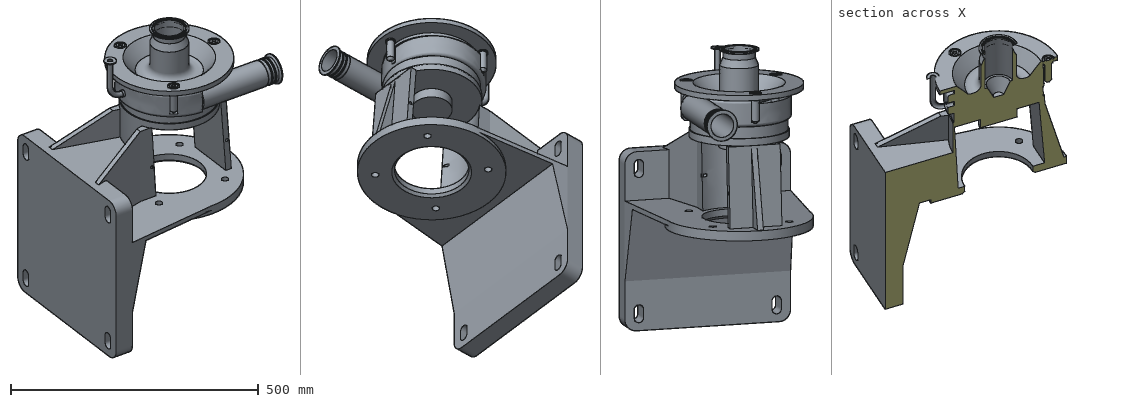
import cadquery as cq
import math


plate_width = 350.0
plate_height = 369.5
plate_thickness = 40.0
plate_back_y = -251.0
plate_front_y = plate_back_y + plate_thickness
plate_corner_radius = 24.5
slot_width = 19.5
slot_length = 37.0
slot_x = 145.5
slot_edge_distance = 35.0

shelf_top = 269.0
shelf_thickness = 10.5
ring_thickness = 19.5
ring_radius = 150.0
ring_bore_radius = 75.0
ring_bore_chamfer = 5.5
ring_hole_radius = 7.5
ring_hole_circle = 114.0
shelf_bottom = shelf_top - shelf_thickness
gusset_reach = 36.0
gusset_bottom = 103.0

leg_top = 435.0
leg_half_width = 54.5
saddle_radius = 101.5
saddle_back_y = -109.0
leg_cone_bottom_radius = 89.0
leg_cone_top_radius = 97.0
rib_thickness = 11.5
rib_splay = 15.0
rib_end_y = -233.5
front_leg_bottom_y = 101.0
front_leg_top_y = 88.5
front_leg_thickness = 13.5
front_rib_bottom_y = 144.5
front_rib_top_y = 101.0
front_rib_thickness = 12.0
pin_hole_radius = 3.0
pin_hole_depth = 12.0
pin_hole_z = 340.5
pin_hole_places_y = (103.0, -80.0)

shaft_boss_bottom = 413.0
shaft_boss_radius = 41.0
base_flange_radius = 101.5
base_flange_top = 450.0
base_radius = 99.0
casing_bottom = 473.0
casing_top = 526.5
casing_fillet = 6.0
spiral_start_radius = 101.0
spiral_end_radius = 118.5
cover_neck_radius = 98.5
cover_bottom = 534.0
cover_top = 545.0
cover_radius = 130.0

dish_rim_radius = 93.5
dish_chamfer = 2.5
dish_floor_radius = 69.0
dish_floor_z = 513.0
dish_wall_foot_z = 515.5
dish_fillet_width = 10.5
dish_fillet_radius = 15.5
inlet_radius = 39.5
inlet_fillet = 16.0
inlet_cone_bottom = 581.5
inlet_cone_top = 597.0
inlet_neck_radius = 32.5
inlet_flange_radius = 40.0
inlet_top = 614.5
flange_rim = 2.5
flange_taper = 3.0
gasket_groove_outer_radius = 35.5
gasket_groove_inner_radius = 33.0
gasket_groove_depth = 1.0
inlet_bore_radius = 30.0
inlet_throat_radius = 25.0
throat_z = 516.0
throat_floor_radius = 10.75
throat_floor_z = 485.5

outlet_x = 95.0
outlet_z = 499.5
outlet_radius = 28.0
outlet_neck_radius = 27.0
outlet_neck_start = 158.5
outlet_flange_radius = 32.0
outlet_end_y = 190.5
outlet_bore_radius = 24.0
outlet_ring_width = 3.0
outlet_ring_places_y = (166.5, 175.0)

drain_radius = 6.0
drain_bore_radius = 5.0
drain_y = -145.0
drain_bend_radius = 27.0
drain_top = 588.5
drain_flange_radius = 13.0
drain_flange_thickness = 2.5
drain_collar_radius = 7.5
drain_collar_end_y = -117.5
drain_root_y = -98.5

screw_circle = 109.5
screw_angles = (90, 210, 330)
screw_radius = 8.0
screw_tip_chamfer = 5.5
washer_thickness = 3.0
screw_recess_radius = 10.15
screw_bottom = 482.5
head_recess_radius = 12.0
head_radius = 8.5
head_recess_depth = 3.0
socket_radius = 4.0


def disc(radius, bottom, top, x=0, y=0):
    return cq.Workplane("XY", origin=(x, y, bottom)).circle(radius).extrude(top - bottom)


def turned(half_section):
    """Revolve (radius, z) points about the Z axis."""
    return cq.Workplane("XZ").polyline(half_section).close().revolve(360, (0, 0), (0, 1))


def side_profile(points, x_start, x_end):
    """Extrude a (y, z) outline along X."""
    return cq.Workplane("YZ", origin=(x_start, 0, 0)).polyline(points).close().extrude(x_end - x_start)


def mounting_plate():
    plate = (
        cq.Workplane("XY")
        .box(plate_width, plate_thickness, plate_height, centered=(True, False, False))
        .translate((0, plate_back_y, 0))
        .edges("|Y").fillet(plate_corner_radius)
    )
    slot_places = [
        (x, z)
        for x in (-slot_x, slot_x)
        for z in (slot_edge_distance, plate_height - slot_edge_distance)
    ]
    slots = (
        cq.Workplane("XZ", origin=(0, plate_front_y, 0))
        .pushPoints(slot_places)
        .slot2D(slot_length, slot_width, 90)
        .extrude(plate_thickness)
    )
    return plate.cut(slots)


def shelf_slab(bottom, top):
    """Round-fronted slab whose sides widen from the ring to the mounting plate."""
    half_width = plate_width / 2
    return (
        cq.Workplane("XY", origin=(0, 0, bottom))
        .moveTo(-half_width, plate_front_y)
        .lineTo(half_width, plate_front_y)
        .lineTo(ring_radius, 0)
        .threePointArc((0, ring_radius), (-ring_radius, 0))
        .close()
        .extrude(top - bottom)
    )


def shelf():
    gusset = side_profile(
        [
            (plate_front_y, gusset_bottom),
            (plate_front_y + gusset_reach, shelf_bottom),
            (plate_front_y, shelf_bottom),
        ],
        -plate_width / 2,
        plate_width / 2,
    )
    gusset = gusset.intersect(shelf_slab(gusset_bottom, shelf_bottom))
    ring = disc(ring_radius, shelf_top - ring_thickness, shelf_top)
    return shelf_slab(shelf_bottom, shelf_top).union(gusset).union(ring)


def shelf_holes():
    ring_bottom = shelf_top - ring_thickness
    wide_radius = ring_bore_radius + ring_bore_chamfer
    holes = turned([
        (0, ring_bottom),
        (wide_radius, ring_bottom),
        (ring_bore_radius, ring_bottom + ring_bore_chamfer),
        (ring_bore_radius, shelf_top),
        (0, shelf_top),
    ])
    for angle in (45, 135, 225, 315):
        x = ring_hole_circle * math.cos(math.radians(angle))
        y = ring_hole_circle * math.sin(math.radians(angle))
        holes = holes.union(disc(ring_hole_radius, ring_bottom, shelf_top, x, y))
    return holes


def rear_support():
    """Saddle block with splayed ribs and a raised floor between them."""
    lean = math.tan(math.radians(rib_splay))
    rib_run = (saddle_back_y - rib_end_y) * lean
    end_half_width = leg_half_width + rib_run
    rib_width = rib_thickness / math.cos(math.radians(rib_splay))

    leg = (
        cq.Workplane("XY", origin=(0, 0, shelf_top))
        .polyline([
            (-leg_half_width, 0),
            (leg_half_width, 0),
            (leg_half_width, saddle_back_y),
            (end_half_width, rib_end_y),
            (-end_half_width, rib_end_y),
            (-leg_half_width, saddle_back_y),
        ])
        .close()
        .extrude(leg_top - shelf_top)
    )
    slope_envelope = side_profile(
        [
            (0, shelf_top),
            (0, leg_top),
            (saddle_back_y, leg_top),
            (rib_end_y, plate_height),
            (rib_end_y, shelf_top),
        ],
        -plate_width / 2,
        plate_width / 2,
    )
    leg = leg.intersect(slope_envelope)
    between_ribs = (
        cq.Workplane("XY", origin=(0, 0, plate_height))
        .polyline([
            (-leg_half_width + rib_width - saddle_back_y * lean, 0),
            (leg_half_width - rib_width + saddle_back_y * lean, 0),
            (end_half_width - rib_width, rib_end_y),
            (-end_half_width + rib_width, rib_end_y),
        ])
        .close()
        .extrude(leg_top - plate_height)
    )
    between_ribs = between_ribs.cut(disc(saddle_radius, plate_height, leg_top))
    conical_clearance = turned([
        (0, shelf_top),
        (leg_cone_bottom_radius, shelf_top),
        (leg_cone_top_radius, leg_top),
        (0, leg_top),
    ])
    return leg.cut(between_ribs).cut(conical_clearance)


def front_support():
    """Leaning leg with a tapered rib down its middle."""
    leg = side_profile(
        [
            (front_leg_bottom_y, shelf_top),
            (front_leg_bottom_y + front_leg_thickness, shelf_top),
            (front_leg_top_y + front_leg_thickness, leg_top),
            (front_leg_top_y, leg_top),
        ],
        -leg_half_width,
        leg_half_width,
    )
    rib = side_profile(
        [
            (front_leg_bottom_y, shelf_top),
            (front_rib_bottom_y, shelf_top),
            (front_rib_top_y, leg_top),
            (front_leg_top_y, leg_top),
        ],
        -front_rib_thickness / 2,
        front_rib_thickness / 2,
    )
    return leg.union(rib)


def pin_holes():
    holes = cq.Workplane("XY")
    for y in pin_hole_places_y:
        for side in (-1, 1):
            start = (side * leg_half_width, y, pin_hole_z)
            hole = cq.Workplane("YZ", origin=start).circle(pin_hole_radius)
            holes = holes.union(hole.extrude(-side * pin_hole_depth))
    return holes


def spiral_point(turn):
    """Point on the casing spiral; turn runs from 0 at +Y to 1 at +X, by way of -X and -Y."""
    angle = math.pi / 2 + turn * 3 * math.pi / 2
    radius = spiral_start_radius + turn * (spiral_end_radius - spiral_start_radius)
    return (radius * math.cos(angle), radius * math.sin(angle))


def casing():
    spiral = (
        cq.Workplane("XY", origin=(0, 0, casing_bottom))
        .parametricCurve(spiral_point, makeWire=False)
        .lineTo(0, 0)
        .close()
        .extrude(casing_top - casing_bottom)
        .edges("%BSPLINE").fillet(casing_fillet)
    )
    core = disc(spiral_start_radius, casing_bottom, casing_top).edges().fillet(casing_fillet)
    return spiral.union(core)


def pump_body():
    lower = (
        disc(shaft_boss_radius, shaft_boss_bottom, leg_top)
        .union(disc(base_flange_radius, leg_top, base_flange_top))
        .union(disc(base_radius, base_flange_top, casing_bottom))
    )
    upper = (
        disc(cover_neck_radius, casing_top, cover_bottom)
        .union(disc(cover_radius, cover_bottom, cover_top))
    )
    return lower.union(casing()).union(upper)


def dish():
    return (
        cq.Workplane("XZ")
        .moveTo(0, dish_floor_z)
        .lineTo(dish_floor_radius - dish_fillet_width, dish_floor_z)
        .radiusArc((dish_floor_radius, dish_wall_foot_z), -dish_fillet_radius)
        .lineTo(dish_rim_radius - dish_chamfer, cover_top - dish_chamfer)
        .lineTo(dish_rim_radius, cover_top)
        .lineTo(0, cover_top)
        .close()
        .revolve(360, (0, 0), (0, 1))
    )


def inlet():
    return (
        cq.Workplane("XZ")
        .moveTo(0, dish_floor_z)
        .lineTo(inlet_radius + inlet_fillet, dish_floor_z)
        .radiusArc((inlet_radius, dish_floor_z + inlet_fillet), inlet_fillet)
        .lineTo(inlet_radius, inlet_cone_bottom)
        .lineTo(inlet_neck_radius, inlet_cone_top)
        .lineTo(inlet_neck_radius, inlet_top - flange_rim - flange_taper)
        .lineTo(inlet_flange_radius, inlet_top - flange_rim)
        .lineTo(inlet_flange_radius, inlet_top)
        .lineTo(0, inlet_top)
        .close()
        .revolve(360, (0, 0), (0, 1))
    )


def gasket_groove():
    groove_bottom = inlet_top - gasket_groove_depth
    core = disc(gasket_groove_inner_radius, groove_bottom, inlet_top)
    return disc(gasket_groove_outer_radius, groove_bottom, inlet_top).cut(core)


def inlet_bore():
    return turned([
        (0, throat_floor_z),
        (throat_floor_radius, throat_floor_z),
        (inlet_throat_radius, throat_z),
        (inlet_bore_radius, throat_z),
        (inlet_bore_radius, inlet_top),
        (0, inlet_top),
    ])


def along_outlet(radius, start_y, end_y):
    start = (outlet_x, start_y, outlet_z)
    return cq.Workplane("XZ", origin=start).circle(radius).extrude(start_y - end_y)


def outlet():
    tube = turned([
        (0, 0),
        (outlet_radius, 0),
        (outlet_radius, outlet_neck_start),
        (outlet_neck_radius, outlet_neck_start),
        (outlet_neck_radius, outlet_end_y - flange_rim - flange_taper),
        (outlet_flange_radius, outlet_end_y - flange_rim),
        (outlet_flange_radius, outlet_end_y),
        (0, outlet_end_y),
    ])
    tube = tube.rotate((0, 0, 0), (1, 0, 0), -90).translate((outlet_x, 0, outlet_z))
    for y in outlet_ring_places_y:
        tube = tube.union(along_outlet(outlet_radius, y, y + outlet_ring_width))
    return tube


def along_drain(radius):
    """Round bar following the drain from inside the casing, round the bend and up."""
    bend_start_y = drain_y + drain_bend_radius
    bend_top = outlet_z + drain_bend_radius
    bend_middle = drain_bend_radius * math.sqrt(0.5)
    path = (
        cq.Workplane("YZ")
        .moveTo(drain_root_y, outlet_z)
        .lineTo(bend_start_y, outlet_z)
        .threePointArc((bend_start_y - bend_middle, bend_top - bend_middle), (drain_y, bend_top))
        .lineTo(drain_y, drain_top)
    )
    return cq.Workplane("XZ", origin=(0, drain_root_y, outlet_z)).circle(radius).sweep(path)


def drain_pipe():
    flange = disc(drain_flange_radius, drain_top - drain_flange_thickness, drain_top, 0, drain_y)
    collar = (
        cq.Workplane("XZ", origin=(0, drain_root_y, outlet_z))
        .circle(drain_collar_radius)
        .extrude(drain_root_y - drain_collar_end_y)
    )
    return along_drain(drain_radius).union(flange).union(collar)


def fit_screws(pump):
    for angle in screw_angles:
        x = screw_circle * math.cos(math.radians(angle))
        y = screw_circle * math.sin(math.radians(angle))
        recess = disc(screw_recess_radius, screw_bottom, cover_bottom, x, y)
        head_recess = disc(head_recess_radius, cover_top - head_recess_depth, cover_top, x, y)
        shank = disc(screw_radius, screw_bottom, cover_top - head_recess_depth, x, y)
        shank = shank.faces("<Z").chamfer(screw_tip_chamfer)
        washer = disc(screw_recess_radius, cover_bottom - washer_thickness, cover_bottom, x, y)
        head = disc(head_radius, cover_top - head_recess_depth, cover_top, x, y)
        socket = disc(socket_radius, cover_top - head_recess_depth, cover_top, x, y)
        pump = pump.cut(recess).cut(head_recess).union(shank).union(washer).union(head.cut(socket))
    return pump


bracket = (
    mounting_plate()
    .union(shelf())
    .union(rear_support())
    .union(front_support())
    .cut(shelf_holes())
    .cut(pin_holes())
)

pump = fit_screws(pump_body().union(outlet()))
pump = pump.cut(dish()).union(inlet()).union(drain_pipe())
pump = (
    pump
    .cut(inlet_bore())
    .cut(gasket_groove())
    .cut(along_outlet(outlet_bore_radius, 0, outlet_end_y))
    .cut(along_drain(drain_bore_radius))
)

result = bracket.union(pump)